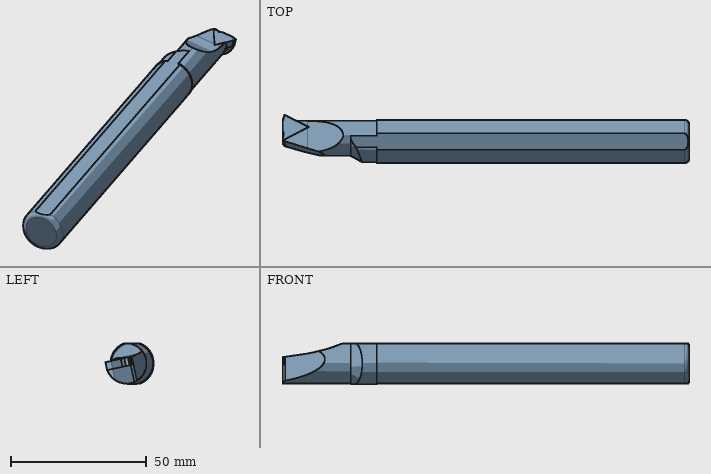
import cadquery as cq
import math

length = 150.0
shank_radius = 24 / 3
flat_height = 14.8 / 2
end_fillet = 1.8

collar_end = 34.6
collar_radius = 15.5 / 2
neck_radius = 14.8 / 2
neck_offset = 2.1
cone_start = 25.0
cone_angle = 29.0
nose_land = 1.6

roll_angle = 12.0
rake_start_height = 2.4
rake_slope = 0.08
rake_length = 9.0
rake_exit_x = 22.8
rake_exit_height = 8.0
flank_start = -0.2
flank_angle = 18.5

insert_top = 2.5
insert_bottom = -0.5
insert_tip = 9.9
insert_depth = 9.6

relief_start = 7.5
relief_depth = 0.8

bevel_start = 0.6
bevel_end = -0.5
bevel_depth = 0.9

notch_start = 1.0
notch_bottom = 2.4
notch_end = 3.8
notch_depth = 0.5

reach = 30.0


def rod(radius, start, end, offset=0.0):
    """Cylinder along X, with its axis moved by offset in Y."""
    return cq.Workplane("YZ", origin=(start, offset, 0)).circle(radius).extrude(end - start)


def rolled(tool):
    """Turn a shape about the shank axis into the roll of the cutting end."""
    return tool.rotate((0, 0, 0), (1, 0, 0), -roll_angle)


def make_shank():
    shank = rod(shank_radius, collar_end, length).faces(">X").edges().fillet(end_fillet)
    flats = cq.Workplane("XY").box(length, reach, 2 * flat_height).translate((collar_end + length / 2, 0, 0))
    return shank.intersect(flats)


def make_head():
    """Eccentric neck opening through a cone into the collar."""
    cone_length = collar_end - cone_start
    cone_end_radius = neck_radius + cone_length * math.tan(math.radians(cone_angle))
    envelope = (
        cq.Workplane("XY", origin=(0, neck_offset, 0))
        .moveTo(0, 0)
        .lineTo(0, neck_radius)
        .lineTo(cone_start, neck_radius)
        .lineTo(collar_end, cone_end_radius)
        .lineTo(collar_end, 0)
        .close()
        .revolve(360, (0, 0, 0), (1, 0, 0))
    )
    collar = rod(collar_radius, nose_land, collar_end)
    nose = rod(neck_radius, 0, nose_land, neck_offset)
    top_cut = cq.Workplane("XY", origin=(0, 0, flat_height)).rect(2 * length, reach).extrude(reach)
    return envelope.intersect(collar).union(nose).cut(top_cut)


def rake_cut():
    """Sloping rake face that curves up and out through the top of the neck."""
    rake_end_height = rake_start_height + rake_slope * rake_length
    return rolled(
        cq.Workplane("XZ")
        .moveTo(0, rake_start_height)
        .lineTo(rake_length, rake_end_height)
        .tangentArcPoint((rake_exit_x, rake_exit_height), relative=False)
        .lineTo(rake_exit_x, reach)
        .lineTo(0, reach)
        .close()
        .extrude(reach, both=True)
    )


def flank_cut():
    """Flat flank on the -Y side, running outwards from the front face."""
    flank_end = flank_start - reach * math.tan(math.radians(flank_angle))
    return rolled(
        cq.Workplane("XY")
        .polyline([(0, flank_start), (reach, flank_end), (reach, -reach), (0, -reach)])
        .close()
        .extrude(reach, both=True)
    )


def relief_cut():
    relief_end = reach
    end_depth = relief_depth * (relief_end - relief_start) / (insert_tip - relief_start)
    return rolled(
        cq.Workplane("XY")
        .polyline([(0, relief_start), (end_depth, relief_end), (0, relief_end)])
        .close()
        .extrude(reach, both=True)
    )


def bevel_cut():
    return rolled(
        cq.Workplane("XY")
        .polyline([(0, bevel_start), (bevel_depth, bevel_end), (0, bevel_end)])
        .close()
        .extrude(reach, both=True)
    )


def notch_cut():
    return rolled(
        cq.Workplane("XY")
        .polyline([(0, notch_start), (notch_depth, notch_bottom), (0, notch_end)])
        .close()
        .extrude(reach, both=True)
    )


def insert_prism(top):
    """Isosceles triangle with its base on the front face."""
    middle = (insert_tip + flank_start) / 2
    return rolled(
        cq.Workplane("XY", origin=(0, 0, insert_bottom))
        .polyline([(0, flank_start), (insert_depth, middle), (0, insert_tip)])
        .close()
        .extrude(top - insert_bottom)
    )


def make_holder():
    head = make_head().cut(rake_cut()).cut(flank_cut()).cut(relief_cut()).cut(bevel_cut())
    return head.cut(insert_prism(reach)).union(make_shank())


def make_insert():
    return insert_prism(insert_top).cut(relief_cut()).cut(bevel_cut()).cut(notch_cut())


holder = make_holder()
insert = make_insert()

result = cq.Compound.makeCompound([holder.solids().val(), insert.solids().val()])